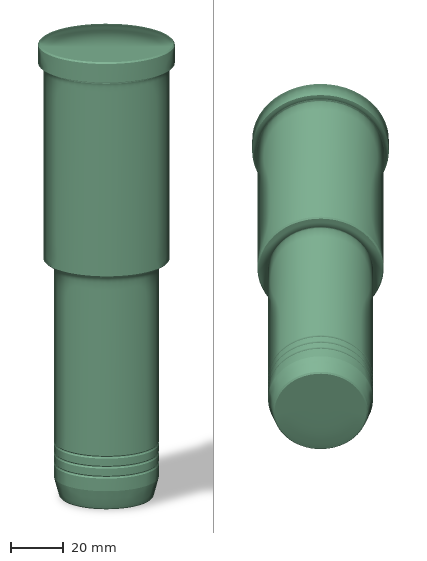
import cadquery as cq

total_height = 180.0
head_diameter = 52.0
head_height = 8.0
body_diameter = 48.0
body_bottom = 94.0
pin_diameter = 40.0
edge_chamfer = 0.5

tip_height = 8.0
tip_diameter = 36.0
tip_bulge = 0.05

groove_depth = 0.5
groove_count = 3
lowest_groove_center = 13.5
groove_pitch = 4.0

relief_depth = 0.4
relief_height = 1.0

head_bottom = total_height - head_height
pin_radius = pin_diameter / 2
tip_radius = tip_diameter / 2


def cylinder(diameter, bottom, top):
    return cq.Workplane("XY").workplane(offset=bottom).circle(diameter / 2).extrude(top - bottom)


def revolve_about_z(section):
    """Revolve a closed section in the XZ plane about the Z axis."""
    return section.revolve(360, (0, 0, 0), (0, 1, 0))


def v_groove(surface_diameter, center_height):
    """Ring that cuts a 90 degree V-groove into a cylinder."""
    surface_radius = surface_diameter / 2
    section = cq.Workplane("XZ").polyline(
        [
            (surface_radius, center_height - groove_depth),
            (surface_radius + groove_depth, center_height),
            (surface_radius, center_height + groove_depth),
            (surface_radius - groove_depth, center_height),
        ]
    )
    return revolve_about_z(section.close())


def shoulder_relief():
    """Ring that narrows the pin evenly towards the shoulder of the body."""
    section = cq.Workplane("XZ").polyline(
        [
            (pin_radius, body_bottom - relief_height),
            (pin_radius, body_bottom),
            (pin_radius - relief_depth, body_bottom),
        ]
    )
    return revolve_about_z(section.close())


def make_tip():
    """Lead-in with a slightly convex side and a small chamfer at the end."""
    section = (
        cq.Workplane("XZ")
        .lineTo(tip_radius - edge_chamfer, 0)
        .lineTo(tip_radius, edge_chamfer)
        .sagittaArc((pin_radius, tip_height), -tip_bulge)
        .lineTo(0, tip_height)
        .close()
    )
    return revolve_about_z(section)


head = cylinder(head_diameter, head_bottom, total_height).faces(">Z").edges().chamfer(edge_chamfer)
body = cylinder(body_diameter, body_bottom, head_bottom).faces("<Z").edges().chamfer(edge_chamfer)
pin = cylinder(pin_diameter, tip_height, body_bottom)
result = make_tip().union(pin).union(body).union(head)

result = result.cut(v_groove(body_diameter, head_bottom - groove_depth))
result = result.cut(shoulder_relief())

for index in range(groove_count):
    result = result.cut(v_groove(pin_diameter, lowest_groove_center + index * groove_pitch))